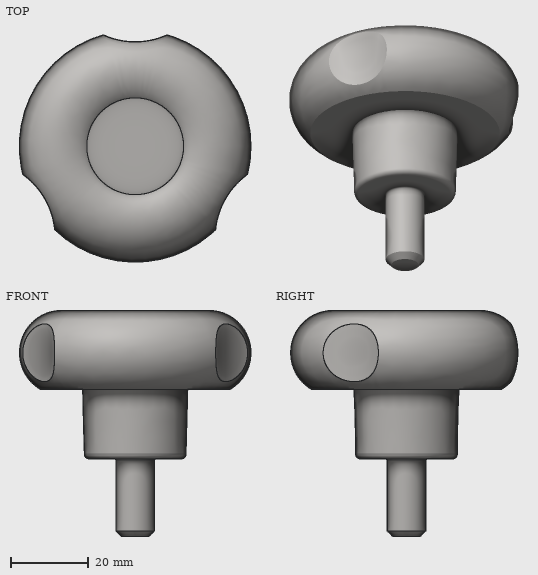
import cadquery as cq
import math


outer_radius = 29.95
ring_radius = 10.95
ring_section_centre = outer_radius - ring_radius
cap_radius = 12.5
ring_underside_drop = 9.45

pin_radius = 10.0 / 2
pin_length = 20.1
pin_chamfer = 1.5
pin_root_fillet = 0.35
hub_height = 18.0
hub_top_radius = 13.6
hub_bottom_radius = 13.1
hub_fillet = 1.3

scallop_count = 3
scallop_radius = 20.0
scallop_floor = 27.0
first_scallop_angle = 90.0

hub_bottom_z = pin_length
ring_bottom_z = hub_bottom_z + hub_height
ring_centre_z = ring_bottom_z + ring_underside_drop


def make_grip():
    """Revolve the ring section, with a sunken flat cap and a flat underside."""
    cap_offset = ring_section_centre - cap_radius
    cap_z = ring_centre_z + math.sqrt(ring_radius**2 - cap_offset**2)
    underside_offset = math.sqrt(ring_radius**2 - ring_underside_drop**2)
    profile = (
        cq.Workplane("XZ")
        .moveTo(0, ring_bottom_z)
        .lineTo(ring_section_centre + underside_offset, ring_bottom_z)
        .threePointArc((outer_radius, ring_centre_z), (cap_radius, cap_z))
        .lineTo(0, cap_z)
        .close()
    )
    return profile.revolve(360, (0, 0, 0), (0, 1, 0))


def make_hub():
    """Slightly tapered hub with a rounded lower edge."""
    hub = (
        cq.Workplane("XY", origin=(0, 0, hub_bottom_z))
        .circle(hub_bottom_radius)
        .workplane(offset=hub_height)
        .circle(hub_top_radius)
        .loft()
    )
    return hub.faces("<Z").edges().fillet(hub_fillet)


def make_pin():
    """Pin with a chamfered tip and a concave fillet where it meets the hub."""
    fillet_mid = pin_root_fillet * (1 - math.sqrt(0.5))
    profile = (
        cq.Workplane("XZ")
        .lineTo(pin_radius - pin_chamfer, 0)
        .lineTo(pin_radius, pin_chamfer)
        .lineTo(pin_radius, pin_length - pin_root_fillet)
        .threePointArc(
            (pin_radius + fillet_mid, pin_length - fillet_mid),
            (pin_radius + pin_root_fillet, pin_length),
        )
        .lineTo(0, pin_length)
        .close()
    )
    return profile.revolve(360, (0, 0, 0), (0, 1, 0))


def make_scallops():
    """Upright cylinders evenly spaced around the grip rim."""
    return (
        cq.Workplane("XY", origin=(0, 0, ring_bottom_z))
        .polarArray(scallop_floor + scallop_radius, first_scallop_angle, 360, scallop_count)
        .circle(scallop_radius)
        .extrude(ring_underside_drop + ring_radius)
    )


grip = make_grip().cut(make_scallops())
result = grip.union(make_hub()).union(make_pin())